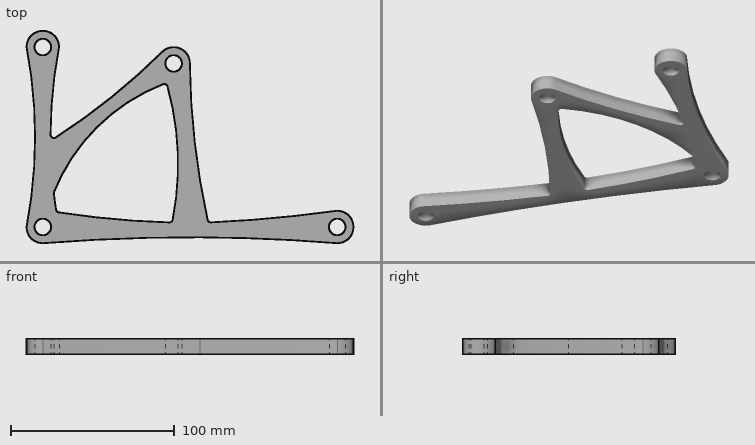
import cadquery as cq
import math

thickness = 9.5
boss_radius = 10.0
hole_diameter = 10.0
corner_radius = 2.0

corner = (0, 0)
right_end = (180.0, 0)
top_end = (0, 110.0)
apex = (80.0, 100.0)

waist_half_width = 4.8
half_height = top_end[1] / 2
waist_depth = boss_radius - waist_half_width
side_radius = (half_height**2 + waist_depth**2) / (2 * waist_depth)


def upright_half_width(y):
    """Half width of the waisted upright at height y."""
    return waist_half_width + side_radius - math.sqrt(side_radius**2 - (y - half_height) ** 2)


def upright_side(y):
    """Point on the inner side of the upright at height y."""
    return (upright_half_width(y), y)


underside_joint = (96.0, -6.4)
strut_foot = (101.2, 2.8)
upper_notch = upright_side(52.8)
window_left_low = upright_side(9.2)
window_left_high = upright_side(21.0)
window_right_low = (79.0, 2.8)
window_top = (75.5, 88.0)

underside_left_mid = (48.0, -7.2)
underside_right_mid = (138.0, -7.4)
right_arm_mid = (142.0, 5.5)
strut_outer_mid = (93.4, 48.0)
diagonal_outer_mid = (40.0, 77.8)
window_diagonal_mid = (32.0, 59.8)
window_right_mid = (82.5, 38.0)
window_floor_mid = (42.0, 5.0)

diagonal_angle = math.radians(130)


def on_boss(center, angle):
    """Point on a boss rim at the given angle in radians."""
    return (
        center[0] + boss_radius * math.cos(angle),
        center[1] + boss_radius * math.sin(angle),
    )


def make_plate():
    """Outer outline, traced counter-clockwise from the corner boss."""
    middle_of_inner_side = (upper_notch[1] + top_end[1]) / 2
    return (
        cq.Workplane("XY")
        .moveTo(*on_boss(corner, -math.pi / 2))
        .threePointArc(underside_left_mid, underside_joint)
        .threePointArc(underside_right_mid, on_boss(right_end, -math.pi / 2))
        .threePointArc(on_boss(right_end, 0), on_boss(right_end, math.pi / 2))
        .threePointArc(right_arm_mid, strut_foot)
        .threePointArc(strut_outer_mid, on_boss(apex, 0))
        .threePointArc(on_boss(apex, diagonal_angle / 2), on_boss(apex, diagonal_angle))
        .threePointArc(diagonal_outer_mid, upper_notch)
        .threePointArc(upright_side(middle_of_inner_side), on_boss(top_end, 0))
        .threePointArc(on_boss(top_end, math.pi / 2), on_boss(top_end, math.pi))
        .threePointArc((-waist_half_width, half_height), on_boss(corner, math.pi))
        .threePointArc(on_boss(corner, -3 * math.pi / 4), on_boss(corner, -math.pi / 2))
        .close()
        .extrude(thickness)
    )


def make_window():
    """Opening enclosed by the upright, the floor beam and the two struts."""
    middle_of_left_side = (window_left_low[1] + window_left_high[1]) / 2
    return (
        cq.Workplane("XY")
        .moveTo(*window_left_low)
        .threePointArc(window_floor_mid, window_right_low)
        .threePointArc(window_right_mid, window_top)
        .threePointArc(window_diagonal_mid, window_left_high)
        .threePointArc(upright_side(middle_of_left_side), window_left_low)
        .close()
        .extrude(thickness)
    )


def round_corners(body, corners):
    """Round the vertical edges that stand on the given points."""
    for x, y in corners:
        edge = cq.selectors.NearestToPointSelector((x, y, thickness / 2))
        body = body.edges("|Z").edges(edge).fillet(corner_radius)
    return body


plate = round_corners(make_plate(), [strut_foot, upper_notch])
window = round_corners(make_window(), [window_left_low, window_right_low, window_top])
holes = (
    cq.Workplane("XY")
    .pushPoints([corner, right_end, top_end, apex])
    .circle(hole_diameter / 2)
    .extrude(thickness)
)

result = plate.cut(window).cut(holes)